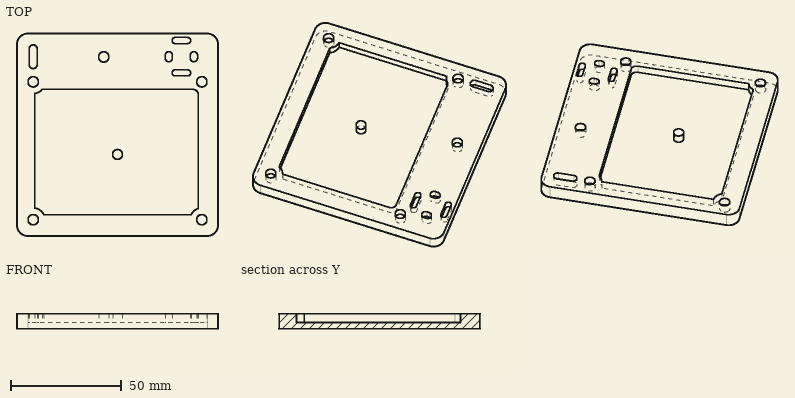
import cadquery as cq

plate_x = 91.0
plate_y = 91.6
plate_z = 7.0
plate_corner_radius = 5.0
recess_depth = 4.0

hole_diameter = 4.7
hole_x = 38.1
hole_rear_y = 23.9
hole_front_y = -38.4
single_hole_center = (-6.2, 35.2)
corner_holes = [(x, y) for x in (-hole_x, hole_x) for y in (hole_front_y, hole_rear_y)]

pocket_x = 74.0
pocket_y = 56.6
pocket_center = (-0.5, -7.8)
pocket_fillet = 2.5
boss_radius = 5.3
plain_corner_hole = (hole_x, hole_rear_y)

pin_diameter = 4.5
pin_center = (0, -8.9)

side_slot_length = 10.7
side_slot_width = 3.6
side_slot_center = (-hole_x, 35.3)

cross_x = 28.85
cross_y = 35.3
long_slot_length = 8.4
long_slot_width = 2.75
long_slot_offset = 7.3
short_slot_length = 4.5
short_slot_width = 3.3
short_slot_offset = 5.7


def recess_plane():
    """Workplane at the floor of the recesses."""
    return cq.Workplane("XY").workplane(offset=plate_z - recess_depth)


def slot(center, length, width, angle):
    return recess_plane().center(*center).slot2D(length, width, angle).extrude(recess_depth)


def pocket():
    body = recess_plane().center(*pocket_center).rect(pocket_x, pocket_y).extrude(recess_depth)
    body = body.edges("|Z and >X and >Y").fillet(pocket_fillet)
    boss_centers = [center for center in corner_holes if center != plain_corner_hole]
    bosses = recess_plane().pushPoints(boss_centers).circle(boss_radius).extrude(recess_depth)
    pin = recess_plane().center(*pin_center).circle(pin_diameter / 2).extrude(recess_depth)
    return body.cut(bosses).cut(pin)


plate = cq.Workplane("XY").rect(plate_x, plate_y).extrude(plate_z)
plate = plate.edges("|Z").fillet(plate_corner_radius)

holes = (
    recess_plane()
    .pushPoints(corner_holes + [single_hole_center])
    .circle(hole_diameter / 2)
    .extrude(recess_depth)
)

result = plate.cut(pocket()).cut(holes)
result = result.cut(slot(side_slot_center, side_slot_length, side_slot_width, 90))
for side in (-1, 1):
    long_center = (cross_x, cross_y + side * long_slot_offset)
    short_center = (cross_x + side * short_slot_offset, cross_y)
    result = result.cut(slot(long_center, long_slot_length, long_slot_width, 0))
    result = result.cut(slot(short_center, short_slot_length, short_slot_width, 90))